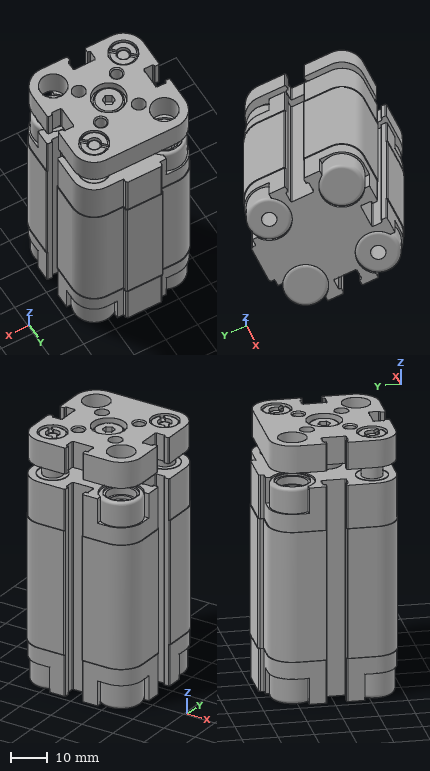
import cadquery as cq
import math

TOTAL_HEIGHT = 75.5
HOUSING_HEIGHT = 63.05
CAP_HEIGHT = 12.6
PLATE_THICKNESS = 7.9
PLATE_BOTTOM = TOTAL_HEIGHT - PLATE_THICKNESS
TUBE_TOP = HOUSING_HEIGHT - CAP_HEIGHT

TUBE_WIDTH = 36.0
CAP_WIDTH = 35.55
PLATE_WIDTH = 35.2
CORNER_RADIUS = 6.95
CORNER_CENTRE = TUBE_WIDTH / 2 - CORNER_RADIUS
RIB_HEIGHT = 1.5
RIB_WIDTH = 11.9
RIB_CHAMFER = 0.5

SLOT_FLOOR = 12.9
SLOT_LIP = 16.1
SLOT_HALF_MOUTH = 2.7
SLOT_HALF_WIDTH = 3.5
LIP_CHAMFER = 0.3
SLOT_CORNER_CHAMFER = 0.3

CORNER_PITCH = 11.0
INNER_PITCH = 6.0
GUIDE_CORNERS = [(-CORNER_PITCH, -CORNER_PITCH), (CORNER_PITCH, CORNER_PITCH)]
SCREW_CORNERS = [(-CORNER_PITCH, CORNER_PITCH), (CORNER_PITCH, -CORNER_PITCH)]
PLAIN_HOLES = [(-INNER_PITCH, INNER_PITCH), (INNER_PITCH, -INNER_PITCH)]
THREADED_HOLES = [(-INNER_PITCH, -INNER_PITCH), (INNER_PITCH, INNER_PITCH)]

BOSS_DIAMETER = 12.5
BOSS_FILLET = 1.05
BOSS_NOTCH = 7.7
TOP_BOSS_HEIGHT = 7.4
BOTTOM_BOSS_HEIGHT = 7.6

SCREW_HOLE_DIAMETER = 4.15
SCREW_CONE_DIAMETER = 5.5
SCREW_CONE_DEPTH = 0.7
SCREW_SEAT_DIAMETER = 7.2
SCREW_SEAT_DEPTH = 3.8
SCREW_BORE_DIAMETER = 8.5
SCREW_BORE_DEPTH = 2.8
SCREW_RIM_DIAMETER = 10.0
SCREW_RIM_DEPTH = 0.5

ROD_DIAMETER = 10.0
ROD_ACROSS_FLATS = 9.0
FLATS_BOTTOM = 63.3
GUIDE_DIAMETER = 6.0
BUSH_DIAMETER = 9.0
BUSH_DEPTH = 0.15

ACCESS_DIAMETER = 8.0
SMALL_HOLE_DIAMETER = 4.0
THREAD_DIAMETER = 3.25
ROD_RECESS_DIAMETER = 10.0
ROD_RECESS_DEPTH = 2.3
ROD_END_DIAMETER = 8.5
ROD_END_DEPTH = 1.0
ROD_END_CHAMFER = 0.45
HEX_ACROSS_FLATS = 3.0
HEX_DEPTH = 3.0

FLANGE_DIAMETER = 8.1
FLANGE_HEIGHT = 0.5
HEAD_DIAMETER = 8.4
HEAD_DEPTH = 0.4
HEAD_CHAMFER = 0.5
HEAD_SLOT_WIDTH = 1.2
HEAD_SLOT_DEPTH = 0.9
TIP_BASE_DIAMETER = 4.0
TIP_DIAMETER = 3.25
TIP_DEPTH = 0.8
TIP_CHAMFER = 0.4


def cylinder(diameter, bottom, top, x=0, y=0):
    return cq.Workplane(origin=(x, y, bottom)).circle(diameter / 2).extrude(top - bottom)


def cone(bottom_diameter, top_diameter, bottom, top, x=0, y=0):
    solid = cq.Solid.makeCone(bottom_diameter / 2, top_diameter / 2, top - bottom, cq.Vector(x, y, bottom))
    return cq.Workplane(solid)


def rounded_block(width, bottom, top):
    corner_radius = width / 2 - CORNER_CENTRE
    block = cq.Workplane(origin=(0, 0, bottom)).rect(width, width).extrude(top - bottom)
    return block.edges("|Z").fillet(corner_radius)


def t_slots(width, bottom, top):
    """Cutters for the three T-slots of a block of the given width."""
    face = width / 2
    flared = SLOT_HALF_MOUTH + LIP_CHAMFER
    half_outline = [
        (flared, face),
        (SLOT_HALF_MOUTH, face - LIP_CHAMFER),
        (SLOT_HALF_MOUTH, SLOT_LIP),
        (SLOT_HALF_WIDTH - SLOT_CORNER_CHAMFER, SLOT_LIP),
        (SLOT_HALF_WIDTH, SLOT_LIP - SLOT_CORNER_CHAMFER),
        (SLOT_HALF_WIDTH, SLOT_FLOOR + SLOT_CORNER_CHAMFER),
        (SLOT_HALF_WIDTH - SLOT_CORNER_CHAMFER, SLOT_FLOOR),
    ]
    outline = half_outline + [(-x, y) for x, y in reversed(half_outline)]
    slot = cq.Workplane(origin=(0, 0, bottom)).polyline(outline).close().extrude(top - bottom)
    cutters = cq.Workplane()
    for angle in (90, 180, 270):
        cutters = cutters.add(slot.rotate((0, 0, 0), (0, 0, 1), angle))
    return cutters.combine()


def housing_section(width, bottom, top):
    """A length of housing: rounded square, rib on +Y and T-slots on the other sides."""
    face = width / 2
    half_rib = (RIB_WIDTH - TUBE_WIDTH + width) / 2
    rib_top = face + RIB_HEIGHT
    rib = (
        cq.Workplane(origin=(0, 0, bottom))
        .polyline([
            (-half_rib, 0),
            (-half_rib, rib_top - RIB_CHAMFER),
            (-half_rib + RIB_CHAMFER, rib_top),
            (half_rib - RIB_CHAMFER, rib_top),
            (half_rib, rib_top - RIB_CHAMFER),
            (half_rib, 0),
        ])
        .close()
        .extrude(top - bottom)
    )
    return rounded_block(width, bottom, top).union(rib).cut(t_slots(width, bottom, top))


def round_off_corner(housing, x, y, bottom, top, end):
    """Replace a housing corner by a round boss, filleted at its free end (">Z" or "<Z")."""
    notch_size = TUBE_WIDTH / 2 - BOSS_NOTCH
    notch_centre = BOSS_NOTCH + notch_size / 2
    notch = (
        cq.Workplane(origin=(math.copysign(notch_centre, x), math.copysign(notch_centre, y), bottom))
        .rect(notch_size, notch_size)
        .extrude(top - bottom)
    )
    boss = cylinder(BOSS_DIAMETER, bottom, top, x, y)
    filleted_boss = boss.faces(end).edges().fillet(BOSS_FILLET)
    return housing.cut(notch).cut(boss).union(filleted_boss)


def cut_screw_hole(housing, x, y):
    """Through hole with a conical inlet below three steps that widen towards the top."""
    steps = [
        (SCREW_RIM_DIAMETER, SCREW_RIM_DEPTH),
        (SCREW_BORE_DIAMETER, SCREW_BORE_DEPTH),
        (SCREW_SEAT_DIAMETER, SCREW_SEAT_DEPTH),
        (SCREW_HOLE_DIAMETER, HOUSING_HEIGHT),
    ]
    for diameter, depth in steps:
        housing = housing.cut(cylinder(diameter, HOUSING_HEIGHT - depth, HOUSING_HEIGHT, x, y))
    seat = HOUSING_HEIGHT - SCREW_SEAT_DEPTH
    return housing.cut(cone(SCREW_HOLE_DIAMETER, SCREW_CONE_DIAMETER, seat - SCREW_CONE_DEPTH, seat, x, y))


def piston_rod():
    """Rod with two flats facing -Y and +Y above the housing."""
    rod = cylinder(ROD_DIAMETER, TUBE_TOP, PLATE_BOTTOM)
    flats = (
        cq.Workplane(origin=(0, 0, FLATS_BOTTOM))
        .rect(ROD_DIAMETER, ROD_DIAMETER)
        .rect(ROD_DIAMETER, ROD_ACROSS_FLATS)
        .extrude(PLATE_BOTTOM - FLATS_BOTTOM)
    )
    return rod.cut(flats)


def make_housing():
    housing = housing_section(CAP_WIDTH, 0, CAP_HEIGHT)
    housing = housing.union(housing_section(TUBE_WIDTH, CAP_HEIGHT, TUBE_TOP))
    housing = housing.union(housing_section(CAP_WIDTH, TUBE_TOP, HOUSING_HEIGHT))
    for x, y in GUIDE_CORNERS + SCREW_CORNERS:
        housing = round_off_corner(housing, x, y, 0, BOTTOM_BOSS_HEIGHT, "<Z")
    for x, y in SCREW_CORNERS:
        boss_bottom = HOUSING_HEIGHT - TOP_BOSS_HEIGHT
        housing = round_off_corner(housing, x, y, boss_bottom, HOUSING_HEIGHT, ">Z")
        housing = cut_screw_hole(housing, x, y)
    for x, y in GUIDE_CORNERS:
        housing = housing.cut(cylinder(GUIDE_DIAMETER, TUBE_TOP, HOUSING_HEIGHT, x, y))
        housing = housing.cut(cylinder(BUSH_DIAMETER, HOUSING_HEIGHT - BUSH_DEPTH, HOUSING_HEIGHT, x, y))
    return housing.cut(cylinder(ROD_DIAMETER, TUBE_TOP, HOUSING_HEIGHT))


def cut_plate_holes(plate):
    for x, y in SCREW_CORNERS:
        plate = plate.cut(cylinder(ACCESS_DIAMETER, PLATE_BOTTOM, TOTAL_HEIGHT, x, y))
    for x, y in PLAIN_HOLES:
        plate = plate.cut(cylinder(SMALL_HOLE_DIAMETER, PLATE_BOTTOM, TOTAL_HEIGHT, x, y))
    countersink_bottom = TOTAL_HEIGHT - (SMALL_HOLE_DIAMETER - THREAD_DIAMETER) / 2
    for x, y in THREADED_HOLES:
        plate = plate.cut(cylinder(THREAD_DIAMETER, PLATE_BOTTOM, TOTAL_HEIGHT, x, y))
        plate = plate.cut(cone(THREAD_DIAMETER, SMALL_HOLE_DIAMETER, countersink_bottom, TOTAL_HEIGHT, x, y))
    return plate


def form_rod_end(plate):
    """Recess at the plate centre with the chamfered rod end and its hexagon socket."""
    end_face = TOTAL_HEIGHT - ROD_END_DEPTH
    recess_floor = TOTAL_HEIGHT - ROD_RECESS_DEPTH
    rod_end = cylinder(ROD_END_DIAMETER, recess_floor, end_face).faces(">Z").chamfer(ROD_END_CHAMFER)
    socket = (
        cq.Workplane(origin=(0, 0, end_face - HEX_DEPTH))
        .polygon(6, HEX_ACROSS_FLATS / math.cos(math.pi / 6))
        .extrude(HEX_DEPTH)
        .rotate((0, 0, 0), (0, 0, 1), 90)
    )
    recess = cylinder(ROD_RECESS_DIAMETER, recess_floor, TOTAL_HEIGHT)
    return plate.cut(recess).union(rod_end).cut(socket)


def form_guide_head(plate, x, y):
    """Slotted head of a guide rod with a stud tip in its centre."""
    head_face = TOTAL_HEIGHT - HEAD_DEPTH
    head_chamfer_bottom = head_face - HEAD_CHAMFER
    tip_face = head_face - TIP_DEPTH
    tip_base = tip_face - TIP_CHAMFER
    head_top = cone(HEAD_DIAMETER, HEAD_DIAMETER - 2 * HEAD_CHAMFER, head_chamfer_bottom, head_face, x, y)
    slot = (
        cq.Workplane(origin=(x, y, head_face - HEAD_SLOT_DEPTH))
        .transformed(rotate=(0, 0, -45))
        .rect(HEAD_DIAMETER, HEAD_SLOT_WIDTH)
        .extrude(HEAD_SLOT_DEPTH)
        .intersect(cylinder(HEAD_DIAMETER, PLATE_BOTTOM, TOTAL_HEIGHT, x, y))
    )
    plate = plate.cut(cylinder(HEAD_DIAMETER, head_chamfer_bottom, TOTAL_HEIGHT, x, y)).union(head_top)
    plate = plate.cut(slot).cut(cylinder(TIP_BASE_DIAMETER, tip_base, head_face, x, y))
    return plate.union(cone(TIP_BASE_DIAMETER, TIP_DIAMETER, tip_base, tip_face, x, y))


def make_slide():
    """Moving unit: front plate carried by the piston rod and the two guide rods."""
    slide = rounded_block(PLATE_WIDTH, PLATE_BOTTOM, TOTAL_HEIGHT)
    slide = slide.cut(t_slots(PLATE_WIDTH, PLATE_BOTTOM, TOTAL_HEIGHT))
    slide = form_rod_end(cut_plate_holes(slide)).union(piston_rod())
    for x, y in GUIDE_CORNERS:
        slide = form_guide_head(slide, x, y)
        slide = slide.union(cylinder(FLANGE_DIAMETER, PLATE_BOTTOM - FLANGE_HEIGHT, PLATE_BOTTOM, x, y))
        slide = slide.union(cylinder(GUIDE_DIAMETER, TUBE_TOP, PLATE_BOTTOM, x, y))
    return slide


housing = make_housing()
slide = make_slide()
result = cq.Compound.makeCompound([housing.val(), slide.val()])